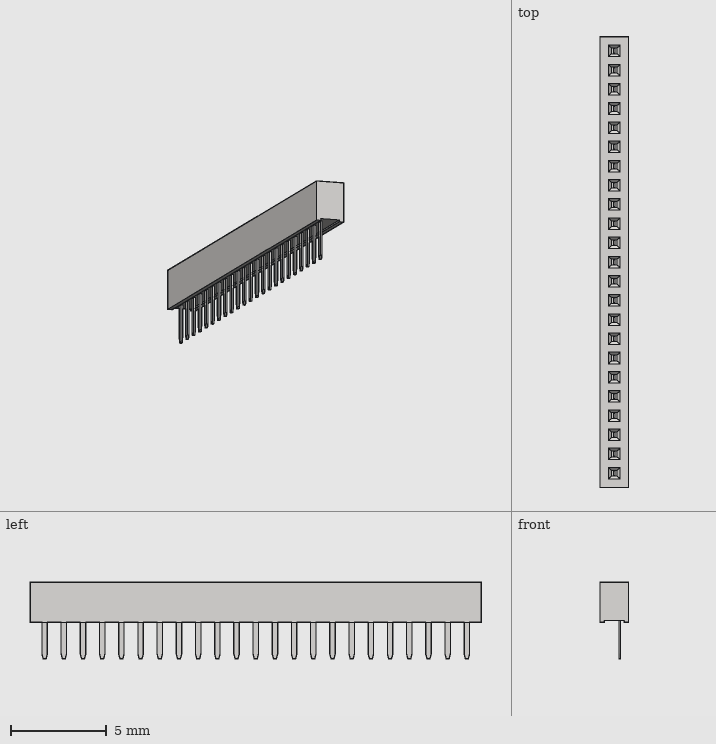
import cadquery as cq

body_length = 23.5
body_width = 1.5
body_height = 2.1
rail_width = 0.24
rail_height = 0.1
channel_width = body_width - 2 * rail_width

contact_count = 23
end_margin_in_pitches = 0.75
pitch = body_length / (contact_count - 1 + 2 * end_margin_in_pitches)
row_start = -pitch * (contact_count - 1) / 2
contact_places = [(0, row_start + i * pitch) for i in range(contact_count)]

overall_height = 4.0
pin_offset = 0.28
pin_thickness = 0.1
pin_half_width = 0.148
tip_half_width = 0.08
tip_length = 0.25
pin_bottom = body_height - overall_height
taper_start = pin_bottom + tip_length

bore_half_size = 0.15
bore_size = 2 * bore_half_size
bore_depth = 0.7
funnel_depth = 0.15
funnel_size = bore_size + 2 * funnel_depth
slit_width = 0.1
slit_length = 0.24
slit_depth = 1.18


def make_body():
    bar = cq.Workplane("XY").box(body_width, body_length, body_height, centered=(True, True, False))
    channel = cq.Workplane("XY").box(channel_width, body_length, rail_height, centered=(True, True, False))
    return bar.cut(channel)


def repeat_along_row(shape):
    return (
        cq.Workplane("XY")
        .pushPoints(contact_places)
        .eachpoint(lambda place: shape.moved(place), combine=False)
    )


def make_sockets():
    top = cq.Workplane("XY", origin=(0, 0, body_height))
    funnel = (
        top.rect(funnel_size, funnel_size)
        .workplane(offset=-funnel_depth)
        .rect(bore_size, bore_size)
        .loft(ruled=True)
    )
    bore = top.rect(bore_size, bore_size).extrude(-bore_depth)
    slit = top.rect(slit_width, slit_length).extrude(-slit_depth)
    return repeat_along_row(funnel.union(bore).union(slit).val())


def make_pins():
    outline = [
        (-pin_half_width, rail_height),
        (-pin_half_width, taper_start),
        (-tip_half_width, pin_bottom),
        (tip_half_width, pin_bottom),
        (pin_half_width, taper_start),
        (pin_half_width, rail_height),
    ]
    pin = (
        cq.Workplane("YZ", origin=(pin_offset, 0, 0))
        .polyline(outline)
        .close()
        .extrude(pin_thickness / 2, both=True)
    )
    return repeat_along_row(pin.val())


result = make_body().cut(make_sockets()).union(make_pins())